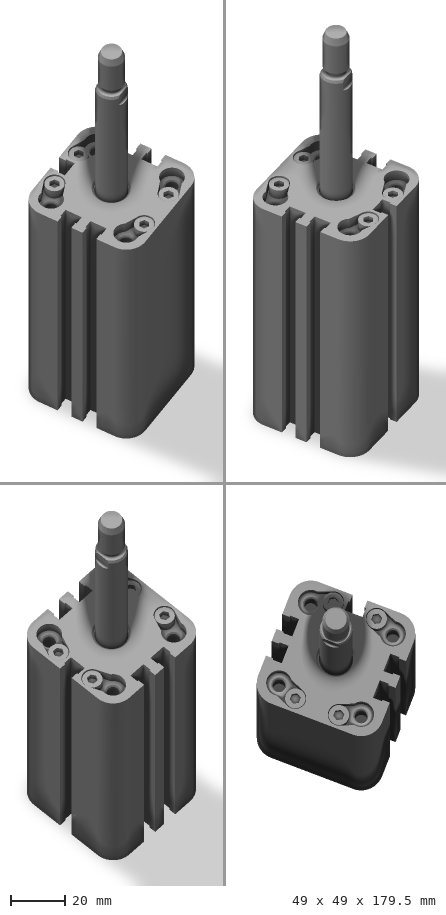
import cadquery as cq
import math

overall_height = 179.5
body_width = 49.0
body_height = 104.1
cap_height = 14.2
corner_radius = 8.3

groove_offset = 5.4
groove_opening = 6.0
groove_inner_width = 7.0
groove_depth = 6.5
groove_lip = 2.9

pocket_depth = 4.5
mount_spacing = 32.5
mount_pocket_diameter = 9.5
mount_chamfer_diameter = 6.0
mount_hole_diameter = 4.8
mount_hole_depth = 9.0
screw_x = 19.4
screw_y = 8.6
screw_pocket_diameter = 8.0
screw_head_diameter = 7.5
screw_head_height = 4.0
socket_width = 3.6
socket_depth = 2.5

rod_diameter = 12.0
rod_hole_diameter = 12.5
seal_seat_diameter = 13.6
seal_seat_depth = 1.0
seat_chamfer_diameter = 14.7
shoulder_z = 160.5
shoulder_diameter = 11.0
shoulder_chamfer_height = 1.0
neck_diameter = 7.5
neck_fillet = 0.5
thread_start_z = 163.3
thread_diameter = 10.0
tip_diameter = 7.9
tip_chamfer_height = 2.9
flat_width = 10.0
flat_bottom_z = 155.5
flat_fillet = 0.7

mount_position = mount_spacing / 2
cap_base_z = body_height - cap_height
tube_height = body_height - 2 * cap_height
pocket_floor_z = body_height - pocket_depth
side_signs = [(sx, sy) for sx in (-1, 1) for sy in (-1, 1)]


def groove(height):
    """Undercut groove opening toward -Y, with its open side on the XZ plane."""
    lip = cq.Workplane("XY").rect(groove_opening, 2 * groove_depth).extrude(height)
    undercut_depth = groove_depth - groove_lip
    undercut = (
        cq.Workplane("XY")
        .center(0, groove_lip + undercut_depth / 2)
        .rect(groove_inner_width, undercut_depth)
        .extrude(height)
    )
    return lip.union(undercut)


def profile(height, base_z):
    """Rounded square bar with two grooves on each Y face and one on the -X face."""
    bar = cq.Workplane("XY").rect(body_width, body_width).extrude(height)
    bar = bar.edges("|Z").fillet(corner_radius)
    half_width = body_width / 2
    face_groove = groove(height)
    for offset in (-groove_offset, groove_offset):
        front_groove = face_groove.translate((offset, -half_width, 0))
        bar = bar.cut(front_groove)
        bar = bar.cut(front_groove.mirror("XZ"))
    side_groove = face_groove.rotate((0, 0, 0), (0, 0, 1), -90)
    bar = bar.cut(side_groove.translate((-half_width, 0, 0)))
    return bar.translate((0, 0, base_z))


def screw_pocket():
    """Pocket with two round ends joined by a straight channel, in the +X +Y corner."""
    run_x = mount_position - screw_x
    run_y = mount_position - screw_y
    floor = cq.Workplane("XY", origin=(0, 0, pocket_floor_z))
    mount_end = (
        floor.center(mount_position, mount_position)
        .circle(mount_pocket_diameter / 2)
        .extrude(pocket_depth)
    )
    screw_end = (
        floor.center(screw_x, screw_y)
        .circle(screw_pocket_diameter / 2)
        .extrude(pocket_depth)
    )
    channel = (
        floor.center((mount_position + screw_x) / 2, (mount_position + screw_y) / 2)
        .transformed(rotate=(0, 0, math.degrees(math.atan2(run_y, run_x))))
        .rect(math.hypot(run_x, run_y), screw_pocket_diameter)
        .extrude(pocket_depth)
    )
    return mount_end.union(screw_end).union(channel)


def mounting_hole():
    """Blind hole with a chamfered mouth, going down from the pocket floor."""
    mount_radius = mount_hole_diameter / 2
    chamfer_radius = mount_chamfer_diameter / 2
    chamfer_size = chamfer_radius - mount_radius
    return (
        cq.Workplane("XZ")
        .moveTo(0, 0)
        .lineTo(chamfer_radius, 0)
        .lineTo(mount_radius, -chamfer_size)
        .lineTo(mount_radius, -mount_hole_depth)
        .lineTo(0, -mount_hole_depth)
        .close()
        .revolve(360, (0, 0, 0), (0, 1, 0))
        .translate((mount_position, mount_position, pocket_floor_z))
    )


def screw_head():
    """Socket head standing on the pocket floor."""
    socket_corner_diameter = socket_width / math.cos(math.pi / 6)
    head = cq.Workplane("XY").circle(screw_head_diameter / 2).extrude(screw_head_height)
    socket = (
        cq.Workplane("XY", origin=(0, 0, screw_head_height - socket_depth))
        .polygon(6, socket_corner_diameter)
        .extrude(socket_depth)
    )
    return head.cut(socket).translate((screw_x, screw_y, pocket_floor_z))


def in_corner(shape, sx, sy):
    """Mirror a shape from the +X +Y corner into the corner with the given signs."""
    if sx < 0:
        shape = shape.mirror("YZ")
    if sy < 0:
        shape = shape.mirror("XZ")
    return shape


def rod_passage():
    """Clearance hole for the rod, with a chamfered seal seat at the top of the cap."""
    hole_radius = rod_hole_diameter / 2
    seat_radius = seal_seat_diameter / 2
    chamfer_radius = seat_chamfer_diameter / 2
    chamfer_size = chamfer_radius - seat_radius
    return (
        cq.Workplane("XZ")
        .moveTo(0, cap_base_z)
        .lineTo(hole_radius, cap_base_z)
        .lineTo(hole_radius, body_height - seal_seat_depth)
        .lineTo(seat_radius, body_height - seal_seat_depth)
        .lineTo(seat_radius, body_height - chamfer_size)
        .lineTo(chamfer_radius, body_height)
        .lineTo(0, body_height)
        .close()
        .revolve(360, (0, 0, 0), (0, 1, 0))
    )


def make_top_cap():
    cap = profile(cap_height, cap_base_z)
    for sx, sy in side_signs:
        cap = cap.cut(in_corner(screw_pocket(), sx, sy))
        cap = cap.cut(in_corner(mounting_hole(), sx, sy))
        cap = cap.union(in_corner(screw_head(), sx, sy))
    return cap.cut(rod_passage())


def make_rod():
    """Stepped rod standing on the tube, with a neck below its thread and two wrench flats."""
    rod_radius = rod_diameter / 2
    neck_radius = neck_diameter / 2
    thread_radius = thread_diameter / 2
    rod = (
        cq.Workplane("XZ")
        .moveTo(0, cap_base_z)
        .lineTo(rod_radius, cap_base_z)
        .lineTo(rod_radius, shoulder_z - shoulder_chamfer_height)
        .lineTo(shoulder_diameter / 2, shoulder_z)
        .lineTo(neck_radius + neck_fillet, shoulder_z)
        .radiusArc((neck_radius, shoulder_z + neck_fillet), neck_fillet)
        .lineTo(neck_radius, thread_start_z - neck_fillet)
        .radiusArc((neck_radius + neck_fillet, thread_start_z), neck_fillet)
        .lineTo(thread_radius, thread_start_z)
        .lineTo(thread_radius, overall_height - tip_chamfer_height)
        .lineTo(tip_diameter / 2, overall_height)
        .lineTo(0, overall_height)
        .close()
        .revolve(360, (0, 0, 0), (0, 1, 0))
    )
    flat_distance = flat_width / 2
    flat_cutter = (
        cq.Workplane("XZ")
        .moveTo(flat_distance, shoulder_z)
        .lineTo(flat_distance, flat_bottom_z + flat_fillet)
        .radiusArc((flat_distance + flat_fillet, flat_bottom_z), -flat_fillet)
        .lineTo(rod_radius, flat_bottom_z)
        .lineTo(rod_radius, shoulder_z)
        .close()
        .extrude(rod_radius, both=True)
    )
    rod = rod.cut(flat_cutter)
    rod = rod.cut(flat_cutter.mirror("YZ"))
    return rod


bottom_cap = profile(cap_height, 0)
tube = profile(tube_height, cap_height)
top_cap = make_top_cap()
rod = make_rod()

result = cq.Compound.makeCompound([bottom_cap.val(), tube.val(), top_cap.val(), rod.val()])